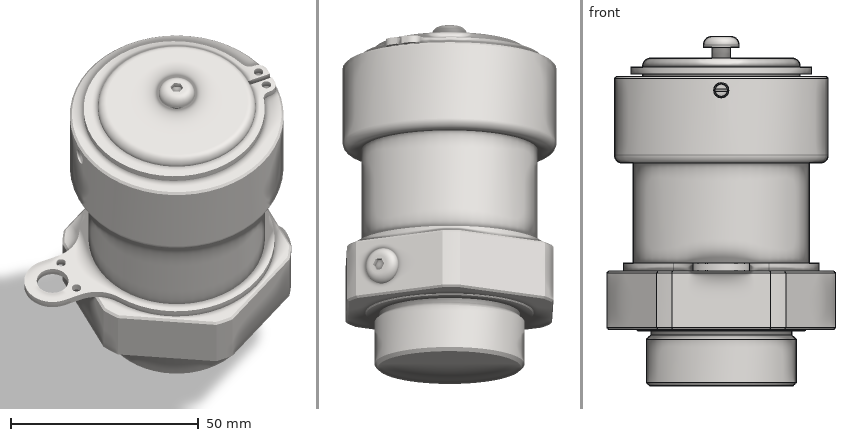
import cadquery as cq
import math

height = 93.1
spigot_shoulder_z = 12.4
neck_z = 13.5
washer_z = 14.6
nut_z = 15.0
plate_z = 30.6
plate_thickness = 2.05
collar_z = 59.4
collar_top_z = 82.5
ring_z = 83.1
ring_thickness = 1.9
lid_top_z = 87.3

spigot_radius = 40.0 / 2
spigot_chamfer = 0.9
neck_radius = 37.6 / 2
washer_radius = 45.0 / 2
washer_chamfer = 0.3
barrel_radius = 47.0 / 2
collar_radius = 57.0 / 2
collar_top_chamfer = 0.6
collar_bottom_fillet = 2.05
lid_radius = 42.0 / 2
lid_fillet = 2.1

nut_across_flats = 55.0
nut_corner_diameter = 61.0
nut_edge_chamfer = 0.6

plate_radius = 26.1
tab_radius = 7.5
tab_hole_y = -36.4
tab_hole_diameter = 8.5
tab_blend_radius = 10.0
tab_pin_hole_diameter = 2.5
tab_pin_hole_x = 4.9
tab_pin_hole_y = -31.7

ring_radius = 24.1
ring_center_y = -0.7
ear_radius = 2.5
ear_hole_y = 25.1
ear_hole_diameter = 2.5
ring_gap = 1.4

head_radius = 9.5 / 2
head_height = 2.9
head_rim = 0.65
head_flat_radius = 2.5
shank_radius = 5.0 / 2
socket_across_flats = 3.0
socket_depth = 1.5
shank_embedding = 1.9
side_screw_x = 4.9
side_screw_z = 22.7
side_screw_top_y = 30.1

set_screw_z = 78.8
set_screw_diameter = 4.0
set_screw_recess = 1.9
set_screw_tip_chamfer = 0.4
set_screw_slot_width = 0.6
set_screw_slot_depth = 0.7


def turned_body():
    """Spigot, neck, washer, barrel, collar and lid as one revolved solid."""
    shoulder_z = collar_z + collar_bottom_fillet
    profile = (
        cq.Workplane("XZ")
        .lineTo(spigot_radius - spigot_chamfer, 0)
        .lineTo(spigot_radius, spigot_chamfer)
        .lineTo(spigot_radius, spigot_shoulder_z)
        .lineTo(neck_radius, neck_z)
        .lineTo(neck_radius, washer_z)
        .lineTo(washer_radius - washer_chamfer, washer_z)
        .lineTo(washer_radius, washer_z + washer_chamfer)
        .lineTo(washer_radius, plate_z)
        .lineTo(barrel_radius, plate_z)
        .lineTo(barrel_radius, collar_z)
        .lineTo(collar_radius - collar_bottom_fillet, collar_z)
        .radiusArc((collar_radius, shoulder_z), -collar_bottom_fillet)
        .lineTo(collar_radius, collar_top_z - collar_top_chamfer)
        .lineTo(collar_radius - collar_top_chamfer, collar_top_z)
        .lineTo(lid_radius, collar_top_z)
        .lineTo(lid_radius, lid_top_z - lid_fillet)
        .radiusArc((lid_radius - lid_fillet, lid_top_z), -lid_fillet)
        .lineTo(0, lid_top_z)
        .close()
    )
    return profile.revolve(360, (0, 0, 0), (0, 1, 0))


def hex_nut():
    """Hexagon with corners on X, rounded by a cylinder and chamfered at both ends."""
    nut_height = plate_z - nut_z
    across_corners = nut_across_flats / math.cos(math.pi / 6)
    base = cq.Workplane("XY").workplane(offset=nut_z)
    hexagon = base.polygon(6, across_corners).extrude(nut_height)
    limit = base.circle(nut_corner_diameter / 2).extrude(nut_height)
    return hexagon.intersect(limit).faces("<Z or >Z").chamfer(nut_edge_chamfer)


def tab_plate():
    """Round plate with a drilled tab toward -Y, blended in by two concave arcs."""
    blend_x = tab_radius + tab_blend_radius
    blend_distance = plate_radius + tab_blend_radius
    blend_y = -math.sqrt(blend_distance**2 - blend_x**2)
    tangent_x = blend_x * plate_radius / blend_distance
    tangent_y = blend_y * plate_radius / blend_distance
    return (
        cq.Workplane("XY")
        .workplane(offset=plate_z)
        .moveTo(tangent_x, tangent_y)
        .threePointArc((0, plate_radius), (-tangent_x, tangent_y))
        .radiusArc((-tab_radius, blend_y), tab_blend_radius)
        .lineTo(-tab_radius, tab_hole_y)
        .threePointArc((0, tab_hole_y - tab_radius), (tab_radius, tab_hole_y))
        .lineTo(tab_radius, blend_y)
        .radiusArc((tangent_x, tangent_y), tab_blend_radius)
        .close()
        .pushPoints([(0, tab_hole_y)])
        .circle(tab_hole_diameter / 2)
        .pushPoints([(x, tab_pin_hole_y) for x in (-tab_pin_hole_x, tab_pin_hole_x)])
        .circle(tab_pin_hole_diameter / 2)
        .extrude(plate_thickness)
    )


def retaining_ring():
    """Eccentric snap ring with two drilled ears on the +Y side and a gap between them."""
    ear_side_x = 2 * ear_radius
    ear_top_y = ear_hole_y + ear_radius
    blend_x = ear_side_x + ear_radius
    blend_distance = ring_radius + ear_radius
    blend_rise = math.sqrt(blend_distance**2 - blend_x**2)
    blend_y = ring_center_y + blend_rise
    tangent_x = blend_x * ring_radius / blend_distance
    tangent_y = ring_center_y + blend_rise * ring_radius / blend_distance
    base = cq.Workplane("XY").workplane(offset=ring_z)
    ring = (
        base.moveTo(tangent_x, tangent_y)
        .threePointArc((0, ring_center_y - ring_radius), (-tangent_x, tangent_y))
        .radiusArc((-ear_side_x, blend_y), -ear_radius)
        .lineTo(-ear_side_x, ear_hole_y)
        .radiusArc((-ear_radius, ear_top_y), ear_radius)
        .lineTo(ear_radius, ear_top_y)
        .radiusArc((ear_side_x, ear_hole_y), ear_radius)
        .lineTo(ear_side_x, blend_y)
        .radiusArc((tangent_x, tangent_y), -ear_radius)
        .close()
        .pushPoints([(x, ear_hole_y) for x in (-ear_radius, ear_radius)])
        .circle(ear_hole_diameter / 2)
        .extrude(ring_thickness)
    )
    gap = base.center(0, ear_top_y / 2).rect(ring_gap, ear_top_y).extrude(ring_thickness)
    return ring.cut(gap)


def button_screw(shank_length):
    """Button-head screw on the Z axis with the top of its head at Z = 0."""
    dome_radius = head_radius - head_flat_radius
    screw = (
        cq.Workplane("XZ")
        .lineTo(head_flat_radius, 0)
        .radiusArc((head_radius, head_rim - head_height), dome_radius)
        .lineTo(head_radius, -head_height)
        .lineTo(shank_radius, -head_height)
        .lineTo(shank_radius, -head_height - shank_length)
        .lineTo(0, -head_height - shank_length)
        .close()
        .revolve(360, (0, 0, 0), (0, 1, 0))
    )
    socket_across_corners = socket_across_flats / math.cos(math.pi / 6)
    socket = cq.Workplane("XY").polygon(6, socket_across_corners).extrude(-socket_depth)
    return screw.cut(socket)


def set_screw_recess_cut():
    """Recess on the -Y side of the collar, left open around a slotted, chamfered screw tip."""
    radius = set_screw_diameter / 2
    floor = cq.Workplane("XZ", origin=(0, -collar_radius + set_screw_recess, set_screw_z))
    recess = floor.circle(radius).extrude(2 * set_screw_recess)
    tip = floor.circle(radius).extrude(set_screw_tip_chamfer, taper=45)
    slot = (
        floor.workplane(offset=set_screw_tip_chamfer - set_screw_slot_depth)
        .rect(2 * (radius - set_screw_tip_chamfer), set_screw_slot_width)
        .extrude(set_screw_slot_depth)
    )
    return recess.cut(tip).union(slot)


top_screw_shank = height - head_height - lid_top_z + shank_embedding
top_screw = button_screw(top_screw_shank).translate((0, 0, height))
side_screw = (
    button_screw(shank_embedding)
    .rotate((0, 0, 0), (1, 0, 0), -90)
    .translate((side_screw_x, side_screw_top_y, side_screw_z))
)

result = (
    turned_body()
    .union(hex_nut())
    .union(tab_plate())
    .union(retaining_ring())
    .union(top_screw)
    .union(side_screw)
    .cut(set_screw_recess_cut())
)